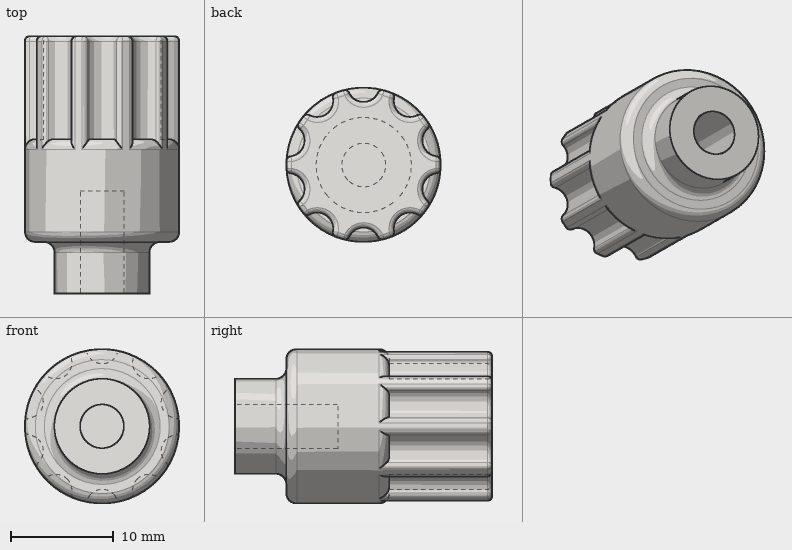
import cadquery as cq
import math

TOTAL_LENGTH = 25.0
BODY_RADIUS = 7.5
NECK_RADIUS = 4.62
NECK_LENGTH = 5.0
SHOULDER_RADIUS = 1.0

BORE_DIAMETER = 4.25
BORE_DEPTH = 10.0

FLUTE_COUNT = 10
FLUTE_START = 14.0
FLUTE_DEPTH = 1.4
FLUTE_RADIUS = 1.55
LIP_RADIUS = 0.5
RUNOUT_RADIUS = 1.0
RIM_FILLET = 0.5
CUT_CLEARANCE = 1.25


def make_body():
    """Neck and barrel, revolved from half of their section (radius, Y)."""
    cove_mid = SHOULDER_RADIUS * math.sqrt(0.5)
    cove_center = (NECK_RADIUS + SHOULDER_RADIUS, NECK_LENGTH - SHOULDER_RADIUS)
    edge_center = (BODY_RADIUS - SHOULDER_RADIUS, NECK_LENGTH + SHOULDER_RADIUS)
    return (
        cq.Workplane("XY")
        .lineTo(NECK_RADIUS, 0)
        .lineTo(NECK_RADIUS, cove_center[1])
        .threePointArc(
            (cove_center[0] - cove_mid, cove_center[1] + cove_mid),
            (cove_center[0], NECK_LENGTH),
        )
        .lineTo(edge_center[0], NECK_LENGTH)
        .threePointArc(
            (edge_center[0] + cove_mid, edge_center[1] - cove_mid),
            (BODY_RADIUS, edge_center[1]),
        )
        .lineTo(BODY_RADIUS, TOTAL_LENGTH)
        .lineTo(0, TOTAL_LENGTH)
        .close()
        .revolve(360, (0, 0), (0, 1))
    )


def make_flute_prism():
    """Long cutter for the flute on the +Z side, flaring over its two rounded lips."""
    flute_center = BODY_RADIUS - FLUTE_DEPTH + FLUTE_RADIUS

    lip_orbit = BODY_RADIUS - LIP_RADIUS
    reach = FLUTE_RADIUS + LIP_RADIUS
    lip_z = (lip_orbit**2 + flute_center**2 - reach**2) / (2 * flute_center)
    lip_x = math.sqrt(lip_orbit**2 - lip_z**2)
    outer_x = lip_x * BODY_RADIUS / lip_orbit
    outer_z = lip_z * BODY_RADIUS / lip_orbit
    inner_x = lip_x * FLUTE_RADIUS / reach
    inner_z = flute_center + (lip_z - flute_center) * FLUTE_RADIUS / reach

    bisector = math.atan2(outer_z + inner_z - 2 * lip_z, outer_x + inner_x - 2 * lip_x)
    mid_x = lip_x + LIP_RADIUS * math.cos(bisector)
    mid_z = lip_z + LIP_RADIUS * math.sin(bisector)
    top_z = BODY_RADIUS + CUT_CLEARANCE

    return (
        cq.Workplane("XZ", origin=(0, FLUTE_START, 0))
        .moveTo(-outer_x, top_z)
        .lineTo(-outer_x, outer_z)
        .threePointArc((-mid_x, mid_z), (-inner_x, inner_z))
        .threePointArc((0, BODY_RADIUS - FLUTE_DEPTH), (inner_x, inner_z))
        .threePointArc((mid_x, mid_z), (outer_x, outer_z))
        .lineTo(outer_x, top_z)
        .close()
        .extrude(-(TOTAL_LENGTH - FLUTE_START + CUT_CLEARANCE))
    )


def make_runout_ring():
    """Ring that limits the cutters, so each flute ends in a rounded step."""
    arc_mid = RUNOUT_RADIUS * math.sqrt(0.5)
    arc_center = BODY_RADIUS - RUNOUT_RADIUS
    floor_y = FLUTE_START + RUNOUT_RADIUS
    inner_radius = BODY_RADIUS - FLUTE_DEPTH - CUT_CLEARANCE
    outer_radius = BODY_RADIUS + 2 * CUT_CLEARANCE
    end_y = TOTAL_LENGTH + 2 * CUT_CLEARANCE
    return (
        cq.Workplane("XY")
        .moveTo(inner_radius, floor_y)
        .lineTo(arc_center, floor_y)
        .threePointArc((arc_center + arc_mid, FLUTE_START + arc_mid), (BODY_RADIUS, FLUTE_START))
        .lineTo(outer_radius, FLUTE_START)
        .lineTo(outer_radius, end_y)
        .lineTo(inner_radius, end_y)
        .close()
        .revolve(360, (0, 0), (0, 1))
    )


def make_bore():
    return cq.Workplane("XZ").circle(BORE_DIAMETER / 2).extrude(-BORE_DEPTH)


result = make_body()

flute_cutter = make_flute_prism().intersect(make_runout_ring())
for index in range(FLUTE_COUNT):
    turn = index * 360 / FLUTE_COUNT
    result = result.cut(flute_cutter.rotate((0, 0, 0), (0, 1, 0), turn))

result = result.faces(">Y").edges().fillet(RIM_FILLET)

result = result.cut(make_bore())